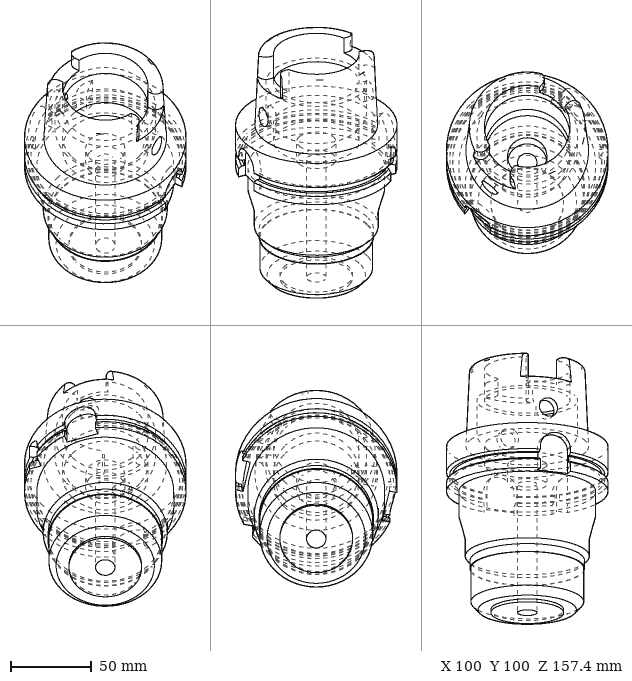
import cadquery as cq
import math

TOTAL_HEIGHT = 157.4
NOSE_PAD_TOP = 1.9
NOSE_CHAMFER_TOP = 7.0
NOSE_TOP = 28.6
COLLAR_TOP = 33.7
BODY_CHAMFER_TOP = 36.5
BODY_TOP = 47.8
NECK_BOTTOM = 62.6
FLANGE_BOTTOM = 78.4
GROOVE_BOTTOM = 85.5
GROOVE_TOP = 89.4
FLANGE_TOP = 107.5

FLANGE_DIAMETER = 100.0
NOSE_PAD_RADIUS = 22.5
NOSE_FACE_RADIUS = 30.4
NOSE_RADIUS = 35.0
COLLAR_RADIUS = 35.4
BODY_RADIUS = 38.4
NECK_RADIUS = 42.3
FLANGE_RADIUS = FLANGE_DIAMETER / 2
GROOVE_RADIUS = 46.1
SHANK_BASE_RADIUS = 38.0
SHANK_TOP_RADIUS = 35.7
SHANK_RIM_FILLET = 2.0

LIP_CHAMFER_DEPTH = 2.0
LIP_CHAMFER_HEIGHT = 1.3

BORE_RADIUS = 26.5
CAVITY_RADIUS = 31.2
CAVITY_TOP = 137.4
CAVITY_FILLET_TOP = 117.1
CAVITY_FILLET = 10.0
BORE_FLOOR = 95.7
COUNTERBORE_RADIUS = 12.1
COUNTERBORE_DEPTH = 12.6
THROUGH_HOLE_RADIUS = 6.0

CROSS_HOLE_RADIUS = 6.0
CROSS_HOLE_HEIGHT = 122.3

SLOT_WIDTH = 20.0
SLOT_CORNER_RADIUS = 5.0
RIM_HALF_LENGTH = 32.3
LEFT_SLOT_FLOOR = 147.0
RIGHT_SLOT_FLOOR = 141.8

KEYWAY_WIDTH = SLOT_WIDTH
KEYWAY_ARCH_TOP = 102.2
KEYWAY_FLOOR = 44.0
SIDE_NOTCH_FLOOR = 31.8
SIDE_NOTCH_EDGE = 31.3


def turned_body():
    outline = [
        (0, 0),
        (NOSE_PAD_RADIUS, 0),
        (NOSE_PAD_RADIUS, NOSE_PAD_TOP),
        (NOSE_FACE_RADIUS, NOSE_PAD_TOP),
        (NOSE_RADIUS, NOSE_CHAMFER_TOP),
        (NOSE_RADIUS, NOSE_TOP),
        (COLLAR_RADIUS, NOSE_TOP),
        (COLLAR_RADIUS, COLLAR_TOP),
        (BODY_RADIUS, BODY_CHAMFER_TOP),
        (BODY_RADIUS, BODY_TOP),
        (NECK_RADIUS, NECK_BOTTOM),
        (NECK_RADIUS, FLANGE_BOTTOM),
        (FLANGE_RADIUS, FLANGE_BOTTOM),
        (FLANGE_RADIUS, GROOVE_BOTTOM - LIP_CHAMFER_HEIGHT),
        (FLANGE_RADIUS - LIP_CHAMFER_DEPTH, GROOVE_BOTTOM),
        (GROOVE_RADIUS, GROOVE_BOTTOM),
        (GROOVE_RADIUS, GROOVE_TOP),
        (FLANGE_RADIUS - LIP_CHAMFER_DEPTH, GROOVE_TOP),
        (FLANGE_RADIUS, GROOVE_TOP + LIP_CHAMFER_HEIGHT),
        (FLANGE_RADIUS, FLANGE_TOP),
        (SHANK_BASE_RADIUS, FLANGE_TOP),
        (SHANK_TOP_RADIUS, TOTAL_HEIGHT),
        (0, TOTAL_HEIGHT),
    ]
    body = cq.Workplane("XZ").polyline(outline).close().revolve(360, (0, 0), (0, 1))
    return body.faces(">Z").edges().fillet(SHANK_RIM_FILLET)


def upright_cylinder(radius, bottom, top):
    return cq.Workplane("XY").workplane(offset=bottom).circle(radius).extrude(top - bottom)


def shank_hollow():
    """Bore with a wider cavity that curves back into it, and a counterbored hole through the nose."""
    hollow = upright_cylinder(THROUGH_HOLE_RADIUS, 0, TOTAL_HEIGHT)
    counterbore_floor = BORE_FLOOR - COUNTERBORE_DEPTH
    hollow = hollow.union(upright_cylinder(COUNTERBORE_RADIUS, counterbore_floor, BORE_FLOOR))
    hollow = hollow.union(upright_cylinder(BORE_RADIUS, BORE_FLOOR, TOTAL_HEIGHT))

    fillet_center_radius = CAVITY_RADIUS - CAVITY_FILLET
    sweep = math.acos((BORE_RADIUS - fillet_center_radius) / CAVITY_FILLET)

    def fillet_point(angle):
        return (
            fillet_center_radius + CAVITY_FILLET * math.cos(angle),
            CAVITY_FILLET_TOP - CAVITY_FILLET * math.sin(angle),
        )

    cavity = (
        cq.Workplane("XZ")
        .moveTo(0, CAVITY_TOP)
        .lineTo(CAVITY_RADIUS, CAVITY_TOP)
        .lineTo(CAVITY_RADIUS, CAVITY_FILLET_TOP)
        .threePointArc(fillet_point(sweep / 2), fillet_point(sweep))
        .lineTo(0, fillet_point(sweep)[1])
        .close()
        .revolve(360, (0, 0), (0, 1))
    )
    return hollow.union(cavity)


def cross_hole():
    hole = cq.Workplane("YZ").center(0, CROSS_HOLE_HEIGHT).circle(CROSS_HOLE_RADIUS)
    return hole.extrude(FLANGE_RADIUS, both=True)


def drive_slot(side, floor):
    """Rim slot on the +X (side = 1) or -X (side = -1) side, flared outward by rounded corners."""
    half_width = SLOT_WIDTH / 2
    flare_start = RIM_HALF_LENGTH - SLOT_CORNER_RADIUS
    flare_middle = flare_start + SLOT_CORNER_RADIUS * math.sin(math.pi / 4)
    flare_rise = SLOT_CORNER_RADIUS * (1 - math.cos(math.pi / 4))
    flare_half_width = half_width + SLOT_CORNER_RADIUS
    outline = (
        cq.Workplane("XY")
        .workplane(offset=floor)
        .moveTo(0, -half_width)
        .lineTo(side * flare_start, -half_width)
        .threePointArc(
            (side * flare_middle, -half_width - flare_rise),
            (side * RIM_HALF_LENGTH, -flare_half_width),
        )
        .lineTo(side * RIM_HALF_LENGTH, -FLANGE_RADIUS)
        .lineTo(side * FLANGE_RADIUS, -FLANGE_RADIUS)
        .lineTo(side * FLANGE_RADIUS, FLANGE_RADIUS)
        .lineTo(side * RIM_HALF_LENGTH, FLANGE_RADIUS)
        .lineTo(side * RIM_HALF_LENGTH, flare_half_width)
        .threePointArc(
            (side * flare_middle, half_width + flare_rise),
            (side * flare_start, half_width),
        )
        .lineTo(0, half_width)
        .close()
    )
    return outline.extrude(TOTAL_HEIGHT - floor)


def arched_keyway(center_y, floor, side):
    """Round-topped keyway open at the flange underside, cut along X down to a flat floor."""
    half_width = KEYWAY_WIDTH / 2
    outline = (
        cq.Workplane("YZ")
        .workplane(offset=side * floor)
        .moveTo(center_y - half_width, FLANGE_BOTTOM)
        .lineTo(center_y - half_width, KEYWAY_ARCH_TOP - half_width)
        .threePointArc(
            (center_y, KEYWAY_ARCH_TOP),
            (center_y + half_width, KEYWAY_ARCH_TOP - half_width),
        )
        .lineTo(center_y + half_width, FLANGE_BOTTOM)
        .close()
    )
    return outline.extrude(side * (FLANGE_RADIUS - floor))


result = turned_body().cut(shank_hollow()).cut(cross_hole())

for side, slot_floor in ((-1, LEFT_SLOT_FLOOR), (1, RIGHT_SLOT_FLOOR)):
    result = result.cut(drive_slot(side, slot_floor))
    result = result.cut(arched_keyway(0, KEYWAY_FLOOR, side))

side_notch_center = SIDE_NOTCH_EDGE + KEYWAY_WIDTH / 2
result = result.cut(arched_keyway(side_notch_center, SIDE_NOTCH_FLOOR, -1))